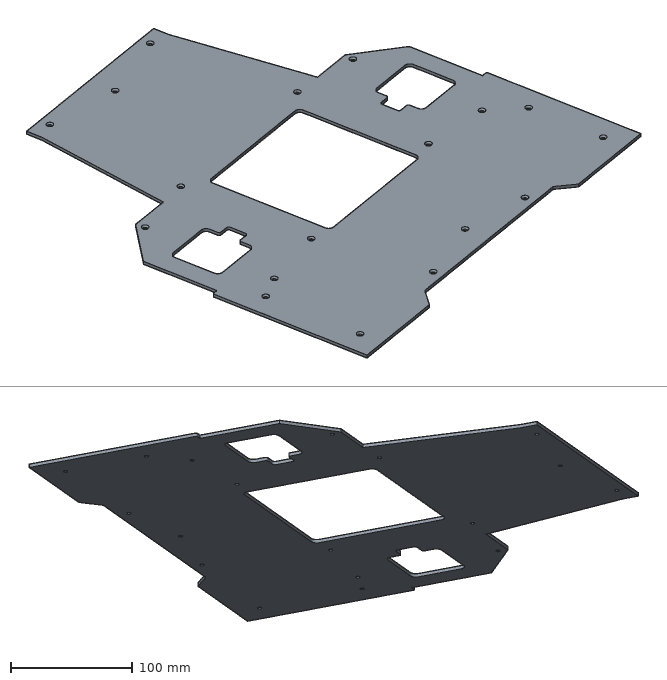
import cadquery as cq

length = 417.0
width = 393.5
thickness = 3.0
half_length = length / 2
half_width = width / 2

nose_half_width = 91.5
nose_straight = 15.0
taper_half_width = 111.0
shoulder_x = -57.0
shoulder_half_width = 150.5
wing_x = -21.0
step_x = 53.0
step_depth = 6.0
step_fillet = 1.5
wing_half_width = half_width - step_depth
recess_depth = 15.0
recess_half_width = 92.0

window_left = -44.0
window_right = 79.0
window_width = 129.5
window_fillet = 5.0

opening_left = -8.0
opening_right = 41.5
opening_inner_y = 121.5
opening_outer_y = 171.5
opening_fillet = 5.0
tab_left = 7.0
tab_right = 26.5
tab_inner_y = 109.3
tab_fillet = 2.0

hole_diameter = 3.5
countersink_diameter = 6.3
countersink_angle = 90
outer_row_y = 174.7
mirrored_holes = [
    (-198.5, 72.0),
    (-58.5, 84.0),
    (73.5, 84.2),
    (183.5, 66.0),
    (-48.5, 149.5),
    (81.7, 149.5),
    (186.0, outer_row_y),
]
single_holes = [
    (-182.5, -1.0),
    (169.5, 0.0),
    (111.0, outer_row_y),
    (91.0, -outer_row_y),
]


def mirrored(points):
    """Points followed by their mirror images about the X axis, in reverse order."""
    return points + [(x, -y) for x, y in reversed(points)]


def make_plate():
    upper_outline = [
        (-half_length, nose_half_width),
        (-half_length + nose_straight, nose_half_width),
        (shoulder_x, taper_half_width),
        (shoulder_x, shoulder_half_width),
        (wing_x, wing_half_width),
        (step_x, wing_half_width),
        (step_x, half_width),
        (half_length, half_width),
        (half_length, recess_half_width + recess_depth),
        (half_length - recess_depth, recess_half_width),
    ]
    plate = cq.Workplane("XY").polyline(mirrored(upper_outline)).close().extrude(thickness)
    for side in (1, -1):
        corner = cq.selectors.NearestToPointSelector((step_x, side * half_width, thickness / 2))
        plate = plate.edges("|Z").edges(corner).fillet(step_fillet)
    return plate


def block(left, right, bottom, top):
    return (
        cq.Workplane("XY")
        .center((left + right) / 2, (bottom + top) / 2)
        .rect(right - left, top - bottom)
        .extrude(thickness)
    )


def make_window():
    window = block(window_left, window_right, -window_width / 2, window_width / 2)
    return window.edges("|Z").fillet(window_fillet)


def make_side_opening():
    main = block(opening_left, opening_right, opening_inner_y, opening_outer_y)
    main = main.edges("|Z").fillet(opening_fillet)
    middle_y = (opening_inner_y + opening_outer_y) / 2
    tab = block(tab_left, tab_right, tab_inner_y, middle_y)
    tab = tab.edges("|Z and <Y").fillet(tab_fillet)
    opening = main.union(tab)
    for x in (tab_left, tab_right):
        corner = cq.selectors.NearestToPointSelector((x, opening_inner_y, thickness / 2))
        opening = opening.edges("|Z").edges(corner).fillet(tab_fillet)
    return opening


side_opening = make_side_opening()
result = (
    make_plate()
    .cut(make_window())
    .cut(side_opening)
    .cut(side_opening.mirror("XZ"))
    .faces(">Z")
    .workplane(origin=(0, 0, thickness))
    .pushPoints(mirrored(mirrored_holes) + single_holes)
    .cskHole(hole_diameter, countersink_diameter, countersink_angle)
)